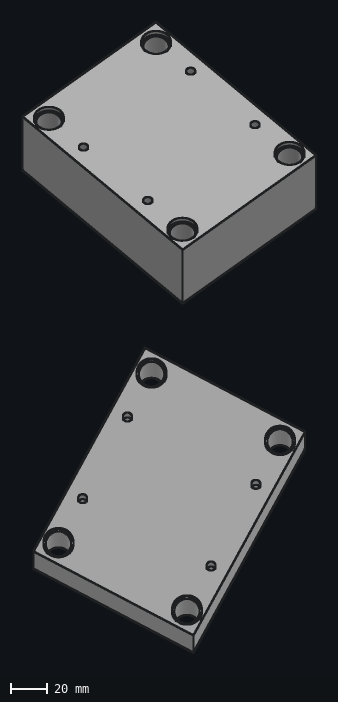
import cadquery as cq
import math

length = 129.7
width = 99.7
height = 46.0

bolt_diameter = 14.0
counterbore_diameter = 16.5
counterbore_depth = 3.2
bolt_spacing_x = 108.0

drill_diameter = 5.0
drill_depth = 13.0
drill_tip_angle = 118.0
drill_spacing_x = 52.0

row_spacing_y = 80.0


def top_pattern(body, spacing_x):
    """Place points on the top face at the corners of a centred rectangle."""
    return (
        body.faces(">Z")
        .workplane(origin=(0, 0, height))
        .rect(spacing_x, row_spacing_y, forConstruction=True)
        .vertices()
    )


def drill_cutter():
    """Blind hole with a conical tip, opening upward at the origin."""
    radius = drill_diameter / 2
    tip_length = radius / math.tan(math.radians(drill_tip_angle / 2))
    return (
        cq.Workplane("XZ")
        .polyline([
            (0, 0),
            (radius, 0),
            (radius, -drill_depth),
            (0, -drill_depth - tip_length),
        ])
        .close()
        .revolve(360, (0, 0, 0), (0, 1, 0))
        .val()
    )


block = cq.Workplane("XY").box(length, width, height, centered=(True, True, False))

block = top_pattern(block, bolt_spacing_x).cboreHole(
    bolt_diameter, counterbore_diameter, counterbore_depth
)

cutter = drill_cutter()
result = top_pattern(block, drill_spacing_x).cutEach(lambda place: cutter.moved(place))